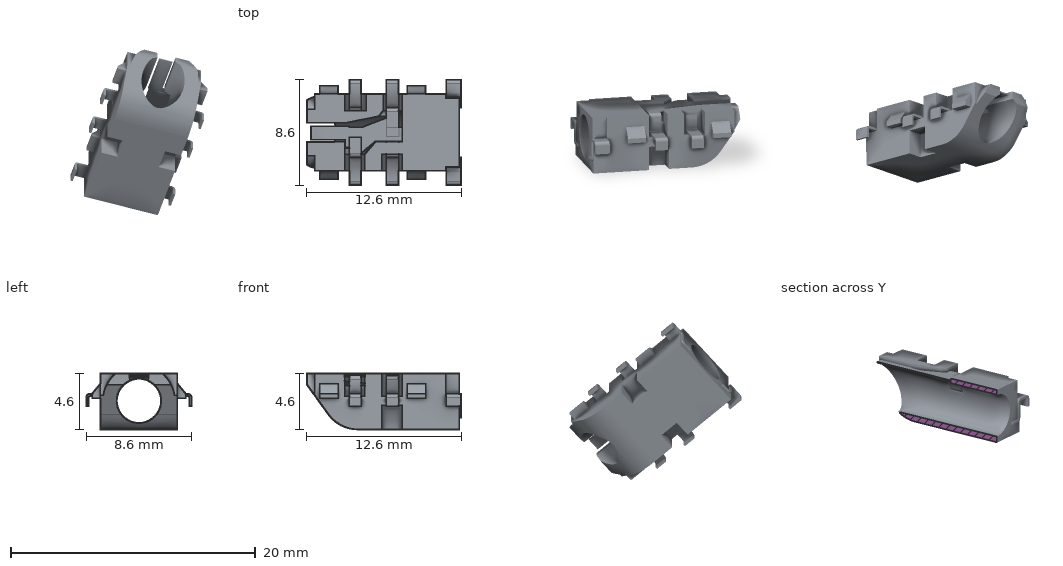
import cadquery as cq
import math


total_length = 12.6
housing_rear = 12.47
housing_width = 6.3
housing_height = 4.6
half_width = housing_width / 2
nose_length = 0.63
nose_radius = 2.95
bore_radius = 1.8
bore_height = 2.34
slope_top = 3.68
slope_run = 2.66
underside_radius = 3.0

wedge_starts = [1.05, 8.2]
wedge_length = 1.51
wedge_reach = 0.68
wedge_bottom = 2.55
wedge_lip = 2.94
wedge_top = 3.75

sheet = 0.2
bend_inner = 0.1
bend_outer = bend_inner + sheet
terminal_span = 8.6
leg_outer = terminal_span / 2
leg_bottom = 1.92
seat_height = 2.72
seat_top = seat_height + sheet
riser_outer = 2.02
arm_top = 4.42
stub_top = arm_top - bend_outer
front_start, front_end = 3.48, 4.45
middle_start, middle_end = 6.49, 7.5
rear_start, rear_end = 11.38, total_length
front_arm_end = 0.4
plate_arm_end = -0.33
buried_arm_end = 0.7
rear_riser_inner = half_width - bend_outer
rear_foot_bottom = 0.97
rear_foot_end = 2.02

slot_wall = 1.78
front_slot_start = 3.1
front_slot_end, far_front_slot_end = 4.74, 4.86
middle_slot_start, far_middle_slot_start = 6.11, 6.24
middle_slot_end = 7.79
lower_slot_height = 2 * bore_height - seat_height
corner_start = 11.34
corner_depth = 0.34
channel_half_width = 0.77
pocket_floor = 3.59
right_taper_end = 5.61
left_knee_start = 5.88
left_knee_half_width = 1.32

plate_thickness = 0.11
tongue_tip = 0.34
tongue_left, tongue_right = 0.52, -0.62
waist_left = 0.43
shoulder_start = 3.14
shoulder_right = -1.2
taper_start = 4.52
taper_left = 1.18
plate_taper_end = 5.63


def box(x_range, y_range, z_range):
    """Box between two limits along each axis."""
    low, high = zip(sorted(x_range), sorted(y_range), sorted(z_range))
    size = [b - a for a, b in zip(low, high)]
    return cq.Workplane("XY").box(*size, centered=False).translate(low)


def bent_strip(corners, x_start, x_end, side):
    """Strip along X from a right-angled YZ outline of (distance outward, height, corner radius)."""
    outline = cq.Workplane("YZ", origin=(x_start, 0, 0))
    count = len(corners)
    started = False
    for i, (y, z, radius) in enumerate(corners):
        y_before, z_before, _ = corners[i - 1]
        y_after, z_after, _ = corners[(i + 1) % count]
        before = math.hypot(y_before - y, z_before - z)
        after = math.hypot(y_after - y, z_after - z)
        back = ((y_before - y) / before, (z_before - z) / before)
        ahead = ((y_after - y) / after, (z_after - z) / after)
        entry = (side * (y + radius * back[0]), z + radius * back[1])
        outline = outline.lineTo(*entry) if started else outline.moveTo(*entry)
        started = True
        if radius > 0:
            leave = (side * (y + radius * ahead[0]), z + radius * ahead[1])
            inset = radius * (1 - math.sqrt(0.5))
            middle = (side * (y + inset * (back[0] + ahead[0])), z + inset * (back[1] + ahead[1]))
            outline = outline.threePointArc(middle, leave)
    return outline.close().extrude(x_end - x_start)


def leg_top():
    """Outer corners of a solder leg, from its tip up to its flat seat."""
    return [(leg_outer, leg_bottom, 0), (leg_outer, seat_top, bend_outer)]


def leg_underside():
    """Inner corners of a solder leg, from the seat back to its tip."""
    return [(leg_outer - sheet, seat_height, bend_inner), (leg_outer - sheet, leg_bottom, 0)]


def arm_terminal(x_start, x_end, side, arm_end):
    """Terminal that rises from its seat and bends inward into a flat arm."""
    riser = [
        (riser_outer, seat_top, bend_inner),
        (riser_outer, arm_top, bend_outer),
        (arm_end, arm_top, 0),
        (arm_end, arm_top - sheet, 0),
        (riser_outer - sheet, arm_top - sheet, bend_inner),
        (riser_outer - sheet, seat_height, bend_outer),
    ]
    return bent_strip(leg_top() + riser + leg_underside(), x_start, x_end, side)


def stub_terminal(x_start, x_end, side):
    """Terminal whose riser is cut off flat."""
    riser = [
        (riser_outer, seat_top, bend_inner),
        (riser_outer, stub_top, 0),
        (riser_outer - sheet, stub_top, 0),
        (riser_outer - sheet, seat_height, bend_outer),
    ]
    return bent_strip(leg_top() + riser + leg_underside(), x_start, x_end, side)


def rear_terminal(side):
    """Terminal that drops inside the housing wall and turns inward into a foot."""
    dropper = [
        (rear_riser_inner, seat_top, bend_outer),
        (rear_riser_inner, rear_foot_bottom + sheet, bend_inner),
        (rear_foot_end, rear_foot_bottom + sheet, 0),
        (rear_foot_end, rear_foot_bottom, 0),
        (rear_riser_inner + sheet, rear_foot_bottom, bend_outer),
        (rear_riser_inner + sheet, seat_height, bend_inner),
    ]
    return bent_strip(leg_top() + dropper + leg_underside(), rear_start, rear_end, side)


def spring_plate():
    """Thin plate over the bore, with a tongue toward the plug opening."""
    bend_line = riser_outer - bend_outer
    return (
        cq.Workplane("XY", origin=(0, 0, arm_top - plate_thickness))
        .polyline([
            (tongue_tip, tongue_right),
            (shoulder_start, tongue_right),
            (shoulder_start, shoulder_right),
            (front_start, shoulder_right),
            (front_start, -front_arm_end),
            (front_end, -front_arm_end),
            (front_end, -bend_line),
            (plate_taper_end, -buried_arm_end),
            (middle_slot_end, -buried_arm_end),
            (middle_slot_end, waist_left),
            (middle_start, waist_left),
            (middle_start, taper_left),
            (taper_start, waist_left),
            (front_start, waist_left),
            (front_start, tongue_left),
            (tongue_tip, tongue_left),
        ])
        .close()
        .extrude(plate_thickness)
    )


def housing_block():
    """Block with a sloped, rounded underside and a cylindrical nose around the bore."""
    block = (
        cq.Workplane("XZ", origin=(0, half_width, 0))
        .polyline([
            (0, slope_top),
            (0, housing_height),
            (housing_rear, housing_height),
            (housing_rear, 0),
            (slope_run, 0),
        ])
        .close()
        .extrude(housing_width)
        .edges(cq.selectors.NearestToPointSelector((slope_run, 0, 0)))
        .fillet(underside_radius)
    )
    nose_trim = (
        box((0, nose_length), (-half_width, half_width), (0, housing_height))
        .cut(cq.Workplane("YZ").center(0, bore_height).circle(nose_radius).extrude(nose_length))
    )
    return block.cut(nose_trim)


def side_wedge(x_start, side):
    """Wedge with a short vertical lip, standing out from a side wall."""
    tip = half_width + wedge_reach
    return (
        cq.Workplane("YZ", origin=(x_start, 0, 0))
        .polyline([
            (side * half_width, wedge_bottom),
            (side * tip, wedge_bottom),
            (side * tip, wedge_lip),
            (side * half_width, wedge_top),
        ])
        .close()
        .extrude(wedge_length)
    )


def side_slots():
    """Slots for the terminals in both side walls, and recesses in the rear corners."""
    outside, roof = half_width, housing_height
    slots = []
    for side, front_x, middle_x in [
        (-1, (front_slot_start, front_slot_end), (middle_slot_start, middle_slot_end)),
        (1, (front_slot_start, far_front_slot_end), (far_middle_slot_start, middle_slot_end)),
    ]:
        depth = (side * slot_wall, side * outside)
        corner = (side * (outside - corner_depth), side * outside)
        slots.append(box(front_x, depth, (seat_height, roof)))
        slots.append(box(middle_x, depth, (seat_height, roof)))
        slots.append(box((middle_slot_start, middle_slot_end), depth, (0, lower_slot_height)))
        slots.append(box((corner_start, housing_rear), corner, (seat_height, roof)))
    return slots


def plate_pocket():
    """Pocket open at the top, holding the spring plate and the inner arms."""
    pocket = (
        cq.Workplane("XY", origin=(0, 0, pocket_floor))
        .polyline([
            (0, -channel_half_width),
            (front_slot_start, -channel_half_width),
            (front_slot_start, -slot_wall),
            (front_slot_end, -slot_wall),
            (right_taper_end, -channel_half_width),
            (middle_slot_end, -channel_half_width),
            (middle_slot_end, slot_wall),
            (far_middle_slot_start, slot_wall),
            (left_knee_start, left_knee_half_width),
            (front_slot_start, channel_half_width),
            (0, channel_half_width),
        ])
        .close()
        .extrude(housing_height - pocket_floor)
    )
    arm_well = box((middle_start, middle_slot_end), (0, slot_wall), (seat_height, housing_height))
    return pocket.union(arm_well)


def make_housing(terminals):
    """Housing with its bore, slots and pocket, and a matching recess for every terminal."""
    body = housing_block()
    for x_start in wedge_starts:
        for side in (-1, 1):
            body = body.union(side_wedge(x_start, side))
    body = body.cut(cq.Workplane("YZ").center(0, bore_height).circle(bore_radius).extrude(total_length))
    for cutter in side_slots() + [plate_pocket()] + terminals:
        body = body.cut(cutter)
    return body


buried_contact = arm_terminal(middle_start, middle_end, -1, buried_arm_end)
stub_contact = stub_terminal(front_start, front_end, 1)
front_contact = arm_terminal(front_start, front_end, -1, front_arm_end)
plate_contact = arm_terminal(middle_start, middle_end, 1, plate_arm_end).union(spring_plate(), clean=False)
rear_contacts = [rear_terminal(side) for side in (-1, 1)]

contacts = [front_contact, plate_contact, stub_contact, buried_contact] + rear_contacts
housing = make_housing(contacts)

result = cq.Compound.makeCompound([housing.val()] + [contact.val() for contact in contacts])